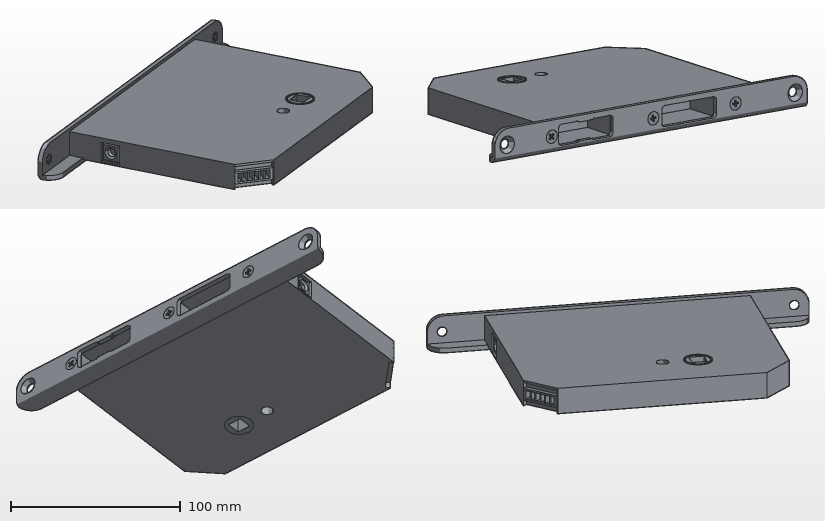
import cadquery as cq
import math

PLATE_LENGTH = 230.0
PLATE_HEIGHT = 20.0
PLATE_THICKNESS = 3.0
FLANGE_WIDTH = 12.0
BEND_RADIUS = 3.5
PLATE_CORNER_RADIUS = 10.0
MID_Z = PLATE_HEIGHT / 2

MOUNT_HOLE_SPACING = 212.0
MOUNT_HOLE_DIAMETER = 5.8
MOUNT_SINK_DIAMETER = 10.5
SINK_ANGLE = 90.0

OPENING_LENGTH = 40.2
OPENING_HEIGHT = 12.9
OPENING_RADIUS = 2.5
OPENING_Z = 10.1
UPPER_OPENING_Y = 48.0
LOWER_OPENING_Y = -28.0
POCKET_DEPTH = 23.0
WAIST_LENGTH = 9.2
WAIST_RAMP = 1.4
WAIST_INSET = 0.7
UPPER_POCKET_SHIFT = 0.5

SCREWS = [(73.1, 45.0), (-1.5, -10.0), (-62.0, -5.0)]
SCREW_HEAD_DIAMETER = 8.0
SCREW_SHANK_DIAMETER = 4.0
SCREW_LENGTH = 11.5
CROSS_LENGTH = 4.1
CROSS_WIDTH = 1.0
CROSS_DEPTH = 1.4
CROSS_TAPER = 10.0

CASE_END = 130.0
CASE_LENGTH = 160.0
CASE_CENTRE_Y = -0.5
CASE_BOTTOM = 2.0
CASE_THICKNESS = 16.0
CASE_CHAMFER = 17.0
CASE_TOP = CASE_BOTTOM + CASE_THICKNESS
CASE_LOW_Y = CASE_CENTRE_Y - CASE_LENGTH / 2

HUB_X = 100.0
HUB_Y = 27.4
HUB_DIAMETER = 17.0
HUB_NECK_DIAMETER = 15.2
HUB_NECK_HEIGHT = 0.5
HUB_SQUARE = 9.0
SIDE_HOLE_Y = 6.0
SIDE_HOLE_DIAMETER = 7.4

BOSS_X = 30.1
BOSS_Z = 9.2
RECESS_SIZE = 12.2
RECESS_DEPTH = 1.8
BOSS_TOP_SIZE = 9.5
BOSS_HEIGHT = 1.2
BOSS_HOLE_DIAMETER = 5.0
BOSS_SINK_DIAMETER = 7.5
BOSS_HOLE_DEPTH = 4.5

LID_THICKNESS = 1.4
CORNER_WALL = 0.7
CORNER_RECESS_DEPTH = 3.0
CHAMFER_FACE_LENGTH = CASE_CHAMFER * math.sqrt(2)
CONNECTOR_LENGTH = CHAMFER_FACE_LENGTH - CORNER_WALL
CONNECTOR_HEIGHT = 7.5
CONNECTOR_DEPTH = 9.2
CONNECTOR_Z = 9.5
TERMINAL_COUNT = 3
TERMINAL_PITCH = 7.0
TERMINAL_WIDTH = 6.0
TERMINAL_HEIGHT = 5.3
TERMINAL_DEPTH = 7.0
BLADE_WIDTH = 1.0
BLADE_SETBACK = 0.5


def box(x_range, y_range, z_range):
    """Axis-aligned block between the given limits."""
    (x0, x1), (y0, y1), (z0, z1) = x_range, y_range, z_range
    return cq.Workplane("XY").box(x1 - x0, y1 - y0, z1 - z0, centered=False).translate((x0, y0, z0))


def front_plane(x, y, z):
    """Workplane looking into the faceplate: local x is +Y, local y is +Z, normal is +X."""
    return cq.Workplane("YZ", origin=(x, y, z))


def opening(centre_y):
    """Rounded bolt opening through the faceplate."""
    return (
        front_plane(0, centre_y, OPENING_Z)
        .rect(OPENING_LENGTH, OPENING_HEIGHT)
        .extrude(PLATE_THICKNESS)
        .edges("|X")
        .fillet(OPENING_RADIUS)
    )


def pocket(centre_y):
    """Square-cornered pocket in the case behind a bolt opening."""
    return (
        front_plane(PLATE_THICKNESS, centre_y, OPENING_Z)
        .rect(OPENING_LENGTH, OPENING_HEIGHT)
        .extrude(POCKET_DEPTH)
    )


def waists(centre_y):
    """Shallow trapezoids that narrow the middle of an opening from above and below."""
    half_inner = WAIST_LENGTH / 2
    half_outer = half_inner + WAIST_RAMP
    upper = (
        front_plane(0, centre_y, OPENING_Z + OPENING_HEIGHT / 2)
        .moveTo(-half_outer, 0)
        .lineTo(-half_inner, -WAIST_INSET)
        .lineTo(half_inner, -WAIST_INSET)
        .lineTo(half_outer, 0)
        .close()
        .extrude(PLATE_THICKNESS)
    )
    lower = upper.mirror("XY", (0, 0, OPENING_Z))
    return upper.union(lower)


def screw_blank(y):
    """Solid countersunk screw without its cross, head flush with the faceplate."""
    head_radius = SCREW_HEAD_DIAMETER / 2
    shank_radius = SCREW_SHANK_DIAMETER / 2
    head_height = head_radius - shank_radius
    profile = [
        (0, 0),
        (0, head_radius),
        (head_height, shank_radius),
        (SCREW_LENGTH, shank_radius),
        (SCREW_LENGTH, 0),
    ]
    return (
        cq.Workplane("XY")
        .polyline(profile)
        .close()
        .revolve(360, (0, 0, 0), (1, 0, 0))
        .translate((0, y, MID_Z))
    )


def make_screw(y, turn):
    """Screw with a tapered cross recess turned about its axis."""
    screw = screw_blank(y)
    for angle in (turn, turn + 90):
        slot = front_plane(0, y, MID_Z).transformed(rotate=(0, 0, angle)).rect(CROSS_LENGTH, CROSS_WIDTH)
        screw = screw.cut(slot.extrude(CROSS_DEPTH, taper=CROSS_TAPER))
    return screw


def plate_blank():
    """Bent strip with its free corners rounded, before any openings."""
    half = PLATE_LENGTH / 2
    profile = (
        cq.Workplane("XZ", origin=(0, half, 0))
        .moveTo(0, PLATE_HEIGHT)
        .lineTo(0, BEND_RADIUS)
        .radiusArc((BEND_RADIUS, 0), -BEND_RADIUS)
        .lineTo(FLANGE_WIDTH, 0)
        .lineTo(FLANGE_WIDTH, PLATE_THICKNESS)
        .lineTo(PLATE_THICKNESS, PLATE_THICKNESS)
        .lineTo(PLATE_THICKNESS, PLATE_HEIGHT)
        .close()
    )
    strip = profile.extrude(PLATE_LENGTH)
    wall_outline = (
        front_plane(0, 0, MID_Z)
        .rect(PLATE_LENGTH, PLATE_HEIGHT)
        .extrude(FLANGE_WIDTH)
        .edges("|X and >Z")
        .fillet(PLATE_CORNER_RADIUS)
    )
    flange_outline = (
        box((0, FLANGE_WIDTH), (-half, half), (0, PLATE_HEIGHT))
        .edges("|Z and >X")
        .fillet(PLATE_CORNER_RADIUS)
    )
    return strip.intersect(wall_outline).intersect(flange_outline)


def make_faceplate():
    """Faceplate with mounting holes, bolt openings and screw seats."""
    plate = plate_blank()
    outer_face = front_plane(0, 0, MID_Z).transformed(rotate=(0, 180, 0))
    plate = (
        plate.copyWorkplane(outer_face)
        .rarray(MOUNT_HOLE_SPACING, 2.3, 2, 1)
        .cskHole(MOUNT_HOLE_DIAMETER, MOUNT_SINK_DIAMETER, SINK_ANGLE, FLANGE_WIDTH)
    )
    waisted_opening = opening(UPPER_OPENING_Y).cut(waists(UPPER_OPENING_Y))
    plate = plate.cut(waisted_opening).cut(opening(LOWER_OPENING_Y))
    for y, _ in SCREWS:
        plate = plate.cut(screw_blank(y))
    return plate


def chamfer_plane(z):
    """Workplane on the chamfered corner: local x runs along the chamfer, normal points out of the case."""
    centre = (CASE_END - CASE_CHAMFER / 2, CASE_LOW_Y + CASE_CHAMFER / 2, z)
    return cq.Workplane(cq.Plane(origin=centre, xDir=(1, 1, 0), normal=(1, -1, 0)))


def connector_blank():
    """Outer block of the connector, front flush with the chamfer."""
    return (
        chamfer_plane(CONNECTOR_Z)
        .center(-CORNER_WALL / 2, 0)
        .rect(CONNECTOR_LENGTH, CONNECTOR_HEIGHT)
        .extrude(-CONNECTOR_DEPTH)
    )


def make_connector():
    """Connector block with a row of sockets, each holding a contact blade."""
    connector = connector_blank()
    for index in range(TERMINAL_COUNT):
        offset = (index - (TERMINAL_COUNT - 1) / 2) * TERMINAL_PITCH
        socket = (
            chamfer_plane(CONNECTOR_Z)
            .center(offset - CORNER_WALL / 2, 0)
            .rect(TERMINAL_WIDTH, TERMINAL_HEIGHT)
            .extrude(-TERMINAL_DEPTH)
        )
        blade = (
            chamfer_plane(CONNECTOR_Z)
            .center(offset - CORNER_WALL / 2, 0)
            .workplane(offset=-TERMINAL_DEPTH)
            .rect(BLADE_WIDTH, TERMINAL_HEIGHT)
            .extrude(TERMINAL_DEPTH - BLADE_SETBACK)
        )
        connector = connector.cut(socket.cut(blade))
    return connector


def corner_recess():
    """Recess in the chamfered corner, open at the bottom and covered by the lid at the top."""
    height = CASE_THICKNESS - LID_THICKNESS
    return (
        chamfer_plane(CASE_BOTTOM + height / 2)
        .center(-CORNER_WALL / 2, 0)
        .rect(CONNECTOR_LENGTH, height)
        .extrude(-CORNER_RECESS_DEPTH)
    )


def side_plane(depth):
    """Workplane parallel to the -Y side of the case, centred on the boss, normal pointing -Y."""
    return cq.Workplane("XZ", origin=(BOSS_X, CASE_LOW_Y + depth, BOSS_Z))


def add_side_boss(case):
    """Square recess with a bevelled boss that carries a countersunk blind hole."""
    recess = side_plane(0).rect(RECESS_SIZE, RECESS_SIZE).extrude(-RECESS_DEPTH)
    boss = (
        side_plane(RECESS_DEPTH)
        .rect(RECESS_SIZE, RECESS_SIZE)
        .workplane(offset=BOSS_HEIGHT)
        .rect(BOSS_TOP_SIZE, BOSS_TOP_SIZE)
        .loft(ruled=True)
    )
    boss_top = RECESS_DEPTH - BOSS_HEIGHT
    sink_depth = (BOSS_SINK_DIAMETER - BOSS_HOLE_DIAMETER) / 2
    hole = side_plane(boss_top).circle(BOSS_HOLE_DIAMETER / 2).extrude(-BOSS_HOLE_DEPTH)
    sink = (
        side_plane(boss_top)
        .circle(BOSS_SINK_DIAMETER / 2)
        .workplane(offset=-sink_depth)
        .circle(BOSS_HOLE_DIAMETER / 2)
        .loft(ruled=True)
    )
    return case.cut(recess).union(boss).cut(hole).cut(sink)


def make_case():
    """Lock case behind the faceplate, with room for every other body."""
    case = box(
        (PLATE_THICKNESS, CASE_END),
        (CASE_LOW_Y, CASE_LOW_Y + CASE_LENGTH),
        (CASE_BOTTOM, CASE_TOP),
    )
    case = case.edges("|Z and >X").chamfer(CASE_CHAMFER)
    case = case.cut(plate_blank())
    case = add_side_boss(case)
    for y in (UPPER_OPENING_Y - UPPER_POCKET_SHIFT, LOWER_OPENING_Y):
        case = case.cut(pocket(y))
    for y, _ in SCREWS:
        case = case.cut(screw_blank(y))
    hub_hole = cq.Workplane("XY").center(HUB_X, HUB_Y).circle(HUB_DIAMETER / 2)
    side_hole = cq.Workplane("XY").center(HUB_X, SIDE_HOLE_Y).circle(SIDE_HOLE_DIAMETER / 2)
    case = case.cut(hub_hole.extrude(CASE_TOP)).cut(side_hole.extrude(CASE_TOP))
    return case.cut(corner_recess()).cut(connector_blank())


def make_hub():
    """Round hub with a narrower neck at the top and a square hole through it."""
    return (
        cq.Workplane("XY", origin=(HUB_X, HUB_Y, CASE_BOTTOM))
        .circle(HUB_DIAMETER / 2)
        .extrude(CASE_THICKNESS - HUB_NECK_HEIGHT)
        .faces(">Z")
        .workplane()
        .circle(HUB_NECK_DIAMETER / 2)
        .extrude(HUB_NECK_HEIGHT)
        .faces(">Z")
        .workplane()
        .rect(HUB_SQUARE, HUB_SQUARE)
        .cutThruAll()
    )


faceplate = make_faceplate()
case = make_case()
hub = make_hub()
connector = make_connector()
screws = [make_screw(y, turn) for y, turn in SCREWS]

result = cq.Compound.makeCompound(
    [faceplate.val(), case.val(), hub.val(), connector.val(), *[screw.val() for screw in screws]]
)